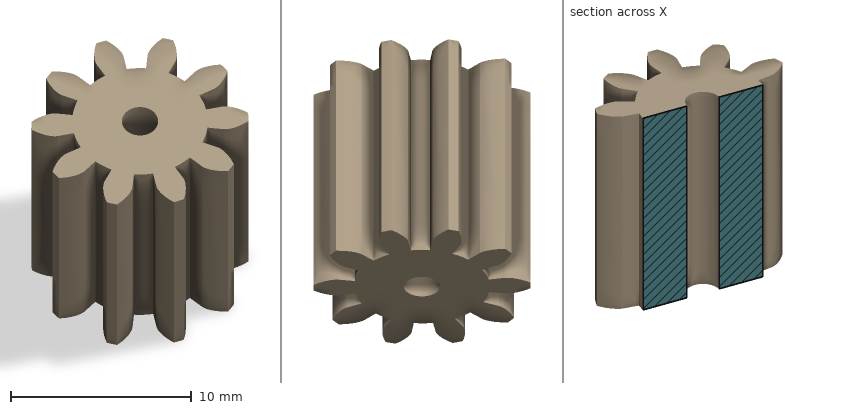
import cadquery as cq
import math

MODULE = 1.0
TOOTH_COUNT = 10
PRESSURE_ANGLE = math.radians(20)
FACE_WIDTH = 12.5
BORE_DIAMETER = 2.0
ADDENDUM = 1.0 * MODULE
DEDENDUM = 1.25 * MODULE

PITCH_RADIUS = MODULE * TOOTH_COUNT / 2
BASE_RADIUS = PITCH_RADIUS * math.cos(PRESSURE_ANGLE)
TIP_RADIUS = PITCH_RADIUS + ADDENDUM
ROOT_RADIUS = PITCH_RADIUS - DEDENDUM
TOOTH_PITCH = 2 * math.pi / TOOTH_COUNT
FLANK_POINTS = 8


def involute(pressure_angle):
    """Polar angle swept by an involute up to the given pressure angle."""
    return math.tan(pressure_angle) - pressure_angle


BASE_HALF_ANGLE = TOOTH_PITCH / 4 + involute(PRESSURE_ANGLE)


def polar(radius, angle):
    return (radius * math.cos(angle), radius * math.sin(angle))


def flank(tooth_angle, side):
    """Points of one involute flank from base circle to tip; side is -1 or +1."""
    points = []
    for i in range(FLANK_POINTS):
        radius = BASE_RADIUS + (TIP_RADIUS - BASE_RADIUS) * i / (FLANK_POINTS - 1)
        half_angle = BASE_HALF_ANGLE - involute(math.acos(min(1.0, BASE_RADIUS / radius)))
        points.append(polar(radius, tooth_angle + side * half_angle))
    return points


def gear_outline():
    """Closed gear outline: radial tooth roots, involute flanks, round tips and gaps."""
    outline = cq.Workplane("XY").moveTo(*polar(ROOT_RADIUS, -BASE_HALF_ANGLE))
    for i in range(TOOTH_COUNT):
        tooth_angle = i * TOOTH_PITCH
        rising = flank(tooth_angle, -1)
        falling = flank(tooth_angle, 1)[::-1]
        gap_middle = polar(ROOT_RADIUS, tooth_angle + TOOTH_PITCH / 2)
        gap_end = polar(ROOT_RADIUS, tooth_angle + TOOTH_PITCH - BASE_HALF_ANGLE)
        outline = (
            outline.lineTo(*rising[0])
            .spline(rising[1:], includeCurrent=True)
            .threePointArc(polar(TIP_RADIUS, tooth_angle), falling[0])
            .spline(falling[1:], includeCurrent=True)
            .lineTo(*polar(ROOT_RADIUS, tooth_angle + BASE_HALF_ANGLE))
            .threePointArc(gap_middle, gap_end)
        )
    return outline.close()


gear = gear_outline().extrude(FACE_WIDTH)
bore = cq.Workplane("XY").circle(BORE_DIAMETER / 2).extrude(FACE_WIDTH)
result = gear.cut(bore)